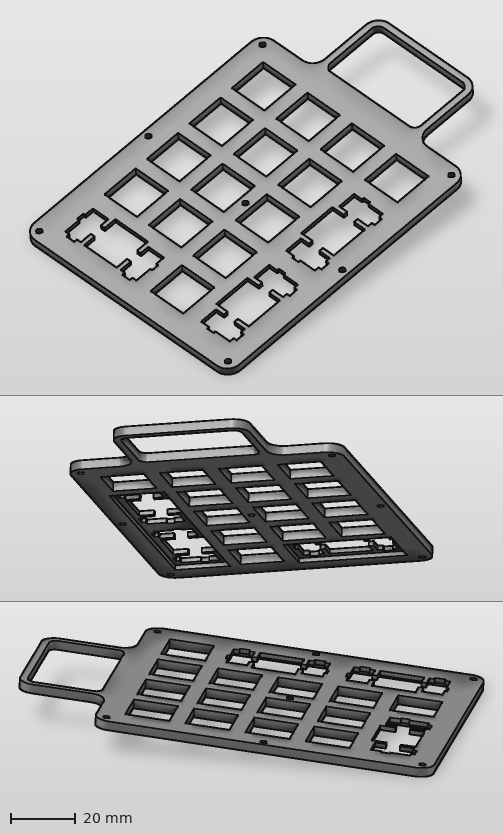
import cadquery as cq
import math


overall_depth = 135.5
tilt_angle = 5.0
thickness = 3.0
tilt = math.radians(tilt_angle)
flat_length = (overall_depth - thickness * math.sin(tilt)) / math.cos(tilt)

columns = 4
rows = 5
outer_column_distance = 57.2
pitch = outer_column_distance / (columns - 1)
key_size = 14.0

body_width = 88.2
margin = (body_width - outer_column_distance) / 2
body_length = (rows - 1) * pitch + 2 * margin
corner_radius = 5.0

rim = 2.5
handle_width = 43.8
window_width = handle_width - 2 * rim
window_length = 23.7
window_radius = corner_radius - rim

screw_diameter = 2.0
corner_screw_inset = 3.5
side_screw_inset = rim

pod_offset = 11.9
pod_width = 6.6
pod_top = 5.5
pod_bottom = -6.8
channel_top = 2.2
channel_bottom = -2.3
clip_bottom = -0.5
clip_depth = 0.8
foot_width = 3.3
foot_depth = 1.2

wide_key = (0.5, 0)
lower_tall_key = (columns - 1, 0.5)
upper_tall_key = (columns - 1, 2.5)

across_turn = 0
along_turn = 90

stabiliser_floor = 1.5
recess_clearance = 1.4
clip_reach = pod_offset + pod_width / 2 + clip_depth
recess_half_length = clip_reach + recess_clearance
recess_top = key_size / 2 + recess_clearance
recess_bottom = pod_bottom - foot_depth - recess_clearance


def block(x_min, x_max, y_min, y_max, height=thickness):
    """Rectangular block between the given limits, rising from the underside."""
    size = (x_max - x_min, y_max - y_min, height)
    return cq.Workplane("XY").box(*size, centered=False).translate((x_min, y_min, 0))


def key_position(column, row):
    """Centre of a grid place; columns count from -X, rows from -Y, halves allowed."""
    return (column * pitch - outer_column_distance / 2, margin + row * pitch)


def make_blank():
    """Rounded body joined to the handle, with fillets where the two meet."""
    body = block(-body_width / 2, body_width / 2, 0, body_length)
    body = body.edges("|Z").fillet(corner_radius)
    overlap_start = body_length / 2
    handle = block(-handle_width / 2, handle_width / 2, overlap_start, flat_length)
    handle = handle.edges("|Z and >Y").fillet(corner_radius)
    junction = cq.selectors.BoxSelector(
        (-handle_width / 2 - rim, body_length - rim, -thickness),
        (handle_width / 2 + rim, body_length + rim, 2 * thickness),
    )
    blank = body.union(handle)
    return blank.edges("|Z").edges(junction).fillet(corner_radius)


def make_window():
    """Rounded opening inside the handle."""
    top = flat_length - rim
    window = block(-window_width / 2, window_width / 2, top - window_length, top)
    return window.edges("|Z").fillet(window_radius)


def make_key_holes():
    """Square switch holes of all single keys."""
    centres = [key_position(column, row) for column in range(columns - 1) for row in range(1, rows)]
    centres.append(key_position(columns - 1, rows - 1))
    centres.append(key_position(columns - 2, 0))
    return cq.Workplane("XY").pushPoints(centres).rect(key_size, key_size).extrude(thickness)


def make_stabilised_key(column, row, turn):
    """Switch hole with a stabiliser pod on both sides, turned about the key centre."""
    half_key = key_size / 2
    cutout = block(-half_key, half_key, -half_key, half_key)
    cutout = cutout.union(block(-pod_offset, pod_offset, channel_bottom, channel_top))
    cutout = cutout.union(block(-clip_reach, clip_reach, clip_bottom, channel_top))
    for centre in (-pod_offset, pod_offset):
        pod = block(centre - pod_width / 2, centre + pod_width / 2, pod_bottom, pod_top)
        foot = block(centre - foot_width / 2, centre + foot_width / 2, pod_bottom - foot_depth, pod_top)
        cutout = cutout.union(pod).union(foot)
    x, y = key_position(column, row)
    return cutout.rotate((0, 0, 0), (0, 0, 1), turn).translate((x, y, 0))


def make_recesses():
    """One recess under the bottom-row stabiliser, one shared by both in the last column."""
    depth = thickness - stabiliser_floor
    x, y = key_position(*wide_key)
    row_recess = block(
        x - recess_half_length, x + recess_half_length, y + recess_bottom, y + recess_top, depth
    )
    x, lower_y = key_position(*lower_tall_key)
    upper_y = key_position(*upper_tall_key)[1]
    column_recess = block(
        x - recess_top, x - recess_bottom, lower_y - recess_half_length, upper_y + recess_half_length, depth
    )
    return row_recess.union(column_recess)


def make_screw_holes():
    """Four corner screws, one at the middle of each long side and one in the centre."""
    corner_x = body_width / 2 - corner_screw_inset
    side_x = body_width / 2 - side_screw_inset
    middle_y = body_length / 2
    centres = [(x, middle_y) for x in (-side_x, 0, side_x)]
    for x in (-corner_x, corner_x):
        for y in (corner_screw_inset, body_length - corner_screw_inset):
            centres.append((x, y))
    return cq.Workplane("XY").pushPoints(centres).circle(screw_diameter / 2).extrude(thickness)


plate = make_blank()
plate = plate.cut(make_window())
plate = plate.cut(make_key_holes())
plate = plate.cut(make_screw_holes())

plate = plate.cut(make_stabilised_key(*wide_key, across_turn))
plate = plate.cut(make_stabilised_key(*lower_tall_key, along_turn))
plate = plate.cut(make_stabilised_key(*upper_tall_key, along_turn))
plate = plate.cut(make_recesses())

result = plate.rotate((0, 0, 0), (1, 0, 0), tilt_angle)